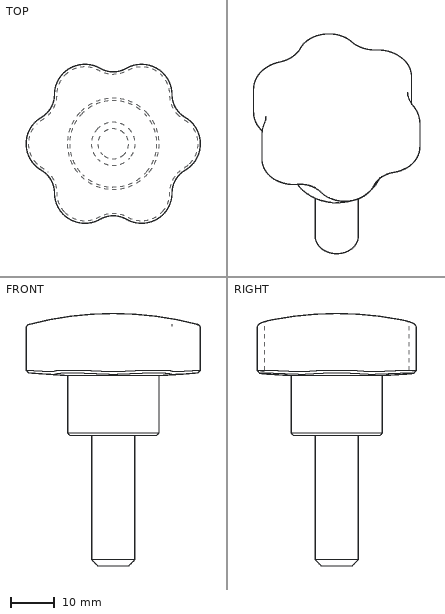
import cadquery as cq
import math

total_height = 58.0
shank_length = 30.0
head_bottom = 43.45

shank_diameter = 10.0
shank_chamfer = 1.5
hub_diameter = 21.0
hub_chamfer = 0.5

lobe_count = 6
lobe_center_radius = 13.0
lobe_radius = 7.0
head_radius = lobe_center_radius + lobe_radius
crown_drop = 2.65
underside_rise = 0.9
top_edge_fillet = 1.0
bottom_edge_chamfer = 0.6


def polar(radius, degrees):
    angle = math.radians(degrees)
    return (radius * math.cos(angle), radius * math.sin(angle))


def lobed_prism():
    """Convex lobes joined by tangent concave valleys, extruded over the head height."""
    pitch = 360 / lobe_count
    join_x, join_y = polar(lobe_radius, pitch)
    join_x += lobe_center_radius
    join_radius = math.hypot(join_x, join_y)
    join_angle = math.degrees(math.atan2(join_y, join_x))
    valley_center_radius = 2 * lobe_center_radius * math.cos(math.radians(pitch / 2))
    valley_radius = lobe_center_radius - lobe_radius
    valley_floor = valley_center_radius - valley_radius

    outline = cq.Workplane("XY").workplane(offset=head_bottom)
    outline = outline.moveTo(*polar(join_radius, -join_angle))
    for i in range(lobe_count):
        axis = i * pitch
        outline = outline.threePointArc(polar(head_radius, axis), polar(join_radius, axis + join_angle))
        outline = outline.threePointArc(
            polar(valley_floor, axis + pitch / 2), polar(join_radius, axis + pitch - join_angle)
        )
    return outline.close().extrude(total_height - head_bottom)


def dome_radius(half_width, height):
    return (half_width**2 + height**2) / (2 * height)


def domed_blank():
    """Disc with a spherical crown and an underside that rises outward from the hub along a sphere."""
    trim_margin = 0.6
    blank_radius = head_radius + trim_margin
    hub_radius = hub_diameter / 2
    crown_radius = dome_radius(head_radius, crown_drop)

    def crown_height(radius):
        return total_height - crown_radius + math.sqrt(crown_radius**2 - radius**2)

    under_radius = dome_radius(head_radius, underside_rise)

    def underside_height(radius):
        return head_bottom + under_radius - math.sqrt(under_radius**2 - radius**2)

    middle_radius = (hub_radius + blank_radius) / 2

    return (
        cq.Workplane("XZ")
        .moveTo(0, underside_height(hub_radius))
        .lineTo(hub_radius, underside_height(hub_radius))
        .threePointArc(
            (middle_radius, underside_height(middle_radius)),
            (blank_radius, underside_height(blank_radius)),
        )
        .lineTo(blank_radius, crown_height(blank_radius))
        .threePointArc((hub_radius, crown_height(hub_radius)), (0, total_height))
        .close()
        .revolve(360, (0, 0, 0), (0, 1, 0))
    )


def make_head():
    head = lobed_prism().intersect(domed_blank())
    head = head.faces(">Z").edges().fillet(top_edge_fillet)
    return head.faces("%SPHERE").faces("<Z").edges("not %CIRCLE").chamfer(bottom_edge_chamfer)


def make_hub():
    overlap = 2.9
    hub = cq.Workplane("XY").workplane(offset=shank_length).circle(hub_diameter / 2)
    return hub.extrude(head_bottom + overlap - shank_length).faces("<Z").chamfer(hub_chamfer)


def make_shank():
    shank = cq.Workplane("XY").circle(shank_diameter / 2).extrude(shank_length)
    return shank.faces("<Z").chamfer(shank_chamfer)


result = make_head().union(make_hub()).union(make_shank())